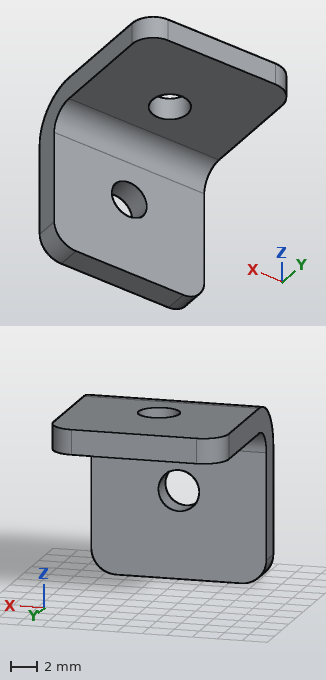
import cadquery as cq

width = 14.0
leg_length = 14.5
thickness = 2.0
inner_bend_radius = 2.0
corner_radius = 2.0
hole_diameter = 3.25
hole_to_free_end = 7.0

outer_bend_radius = inner_bend_radius + thickness
hole_offset = leg_length - hole_to_free_end


def bent_strip():
    """L-shaped strip: one leg runs along +Y, the other hangs along -Z."""
    return (
        cq.Workplane("YZ")
        .moveTo(leg_length, 0)
        .lineTo(outer_bend_radius, 0)
        .radiusArc((0, -outer_bend_radius), -outer_bend_radius)
        .lineTo(0, -leg_length)
        .lineTo(thickness, -leg_length)
        .lineTo(thickness, -outer_bend_radius)
        .radiusArc((outer_bend_radius, -thickness), inner_bend_radius)
        .lineTo(leg_length, -thickness)
        .close()
        .extrude(width / 2, both=True)
    )


def round_free_corners(strip):
    """Round the two corners at the free end of each leg."""
    strip = strip.faces(">Y").edges("|Z").fillet(corner_radius)
    return strip.faces("<Z").edges("|Y").fillet(corner_radius)


def leg_holes():
    """One cylinder through the middle of each leg."""
    hole_radius = hole_diameter / 2
    horizontal_leg_hole = cq.Solid.makeCylinder(
        hole_radius,
        thickness,
        cq.Vector(0, hole_offset, -thickness),
        cq.Vector(0, 0, 1),
    )
    vertical_leg_hole = cq.Solid.makeCylinder(
        hole_radius,
        thickness,
        cq.Vector(0, 0, -hole_offset),
        cq.Vector(0, 1, 0),
    )
    return [horizontal_leg_hole, vertical_leg_hole]


result = round_free_corners(bent_strip())
for hole in leg_holes():
    result = result.cut(cq.Workplane(obj=hole))